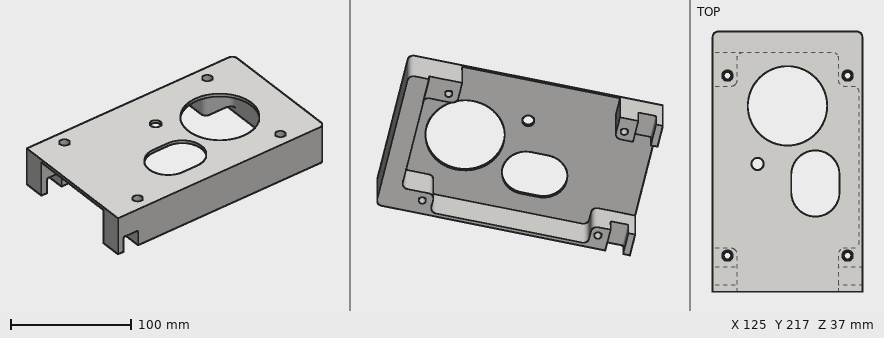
import cadquery as cq

width = 125.0
length = 217.0
height = 37.0
plate_thickness = 3.0
side_wall = 3.0
back_wall = 17.4
corner_radius = 5.0
under_plate = height - plate_thickness

block_width = 20.2
front_block_length = 36.7
back_block_length = 45.5

notch_start = 5.9
notch_width = 15.2
notch_height = 15.2
notch_radius = 1.5
recess_height = 5.2

screw_diameter = 6.0
screw_head_diameter = 9.0
screw_head_depth = 21.7
screw_spacing_x = 100.0
screw_spacing_y = 150.0
screw_front_y = 30.2

large_hole_diameter = 66.0
large_hole_y = 155.0
small_hole_diameter = 10.0
small_hole_x = 37.5
small_hole_y = 106.5
slot_width = 40.0
slot_length = 55.0
slot_x = 85.7
slot_y = 90.3


def box(x0, x1, y0, y1, z1):
    """Box standing on the bottom plane between the given X and Y limits."""
    return cq.Workplane("XY").box(x1 - x0, y1 - y0, z1, centered=False).translate((x0, y0, 0))


def cavity():
    """Crossing channels, one open at the front and one open at the left side."""
    overrun = 2 * corner_radius
    lengthwise = box(block_width, width - block_width, -overrun, length - back_wall, under_plate)
    crosswise = box(
        -overrun, width - side_wall, front_block_length, length - back_block_length, under_plate
    )
    return lengthwise.union(crosswise).edges("|Z").fillet(corner_radius)


def cable_notch():
    notch = box(0, width, notch_start, notch_start + notch_width, notch_height)
    return notch.edges("|X and >Z").fillet(notch_radius)


def back_left_recess():
    return box(
        0, block_width + corner_radius, length - back_block_length, length - back_wall, recess_height
    )


def plate_underside():
    return cq.Workplane("XY", origin=(0, 0, under_plate))


def cut_plate_openings(body):
    large = plate_underside().moveTo(width / 2, large_hole_y).circle(large_hole_diameter / 2)
    small = plate_underside().moveTo(small_hole_x, small_hole_y).circle(small_hole_diameter / 2)
    slot = plate_underside().moveTo(slot_x, slot_y).slot2D(slot_length, slot_width, 90)
    for opening in (large, small, slot):
        body = body.cut(opening.extrude(plate_thickness))
    return body


body = box(0, width, 0, length, height).edges("|Z and >Y").fillet(corner_radius)
body = body.cut(cavity()).cut(cable_notch()).cut(back_left_recess())
body = cut_plate_openings(body)

result = (
    body.faces(">Z")
    .workplane(origin=(width / 2, screw_front_y + screw_spacing_y / 2, height))
    .rarray(screw_spacing_x, screw_spacing_y, 2, 2)
    .cboreHole(screw_diameter, screw_head_diameter, screw_head_depth)
)